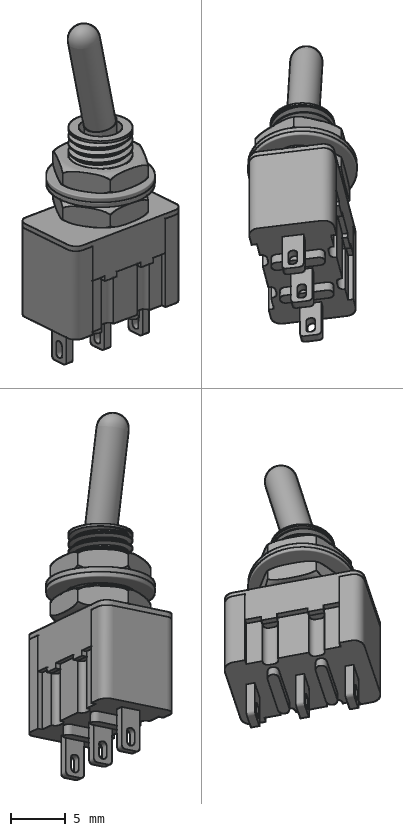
import cadquery as cq
import math


CASE_WIDTH = 7.9
CASE_LENGTH = 13.2
CASE_HEIGHT = 9.5
CASE_CORNER_RADIUS = 1.0
SHEET = 0.5
STRAP_WIDTH = 8.9
STRAP_DROP = 4.0
TAB_DROP = 4.5
SLOT_WIDTH = 1.45
SLOT_OFFSET = 2.2
GROOVE_DEPTH = 0.6
GROOVE_RADIUS = 0.5

RIB_LENGTH = 5.0
RIB_WIDTH = 1.05
RIB_HEIGHT = 1.0
RIB_OFFSET = 2.25

BUSHING_HEIGHT = 8.8
BUSHING_DIAMETER = 5.9
BORE_DIAMETER = 4.0
RIM_HEIGHT = 0.23
COLLAR_HEIGHT = 0.45
THREAD_PITCH = 0.75
THREAD_ROOT_DIAMETER = 5.03
THREAD_FLANK_ANGLE = 30.0
THREAD_CREST = THREAD_PITCH / 8
CREST_LEVEL = 7.43

NUT_WIDTH = 8.0
NUT_HEIGHT = 2.0
NUT_FACE_DIAMETER = 7.5
NUT_ROUND_RADIUS = 1.1
WASHER_DIAMETER = 10.0
WASHER_BORE = 6.4
WASHER_HEIGHT = 0.5
WASHER_RIM_RADIUS = 0.1
WASHER_COUNT = 2
WASHER_LEVEL = 3.0
LOWER_NUT_LEVEL = COLLAR_HEIGHT
UPPER_NUT_LEVEL = WASHER_LEVEL + WASHER_COUNT * WASHER_HEIGHT

LEVER_DIAMETER = 3.0
LEVER_TILT = 12.0
LEVER_PIVOT = BUSHING_HEIGHT
SHANK_START = 0.45
LEVER_TOP = 19.83

TERMINAL_WIDTH = 2.0
TERMINAL_THICKNESS = 0.8
TERMINAL_LENGTH = 4.0
TERMINAL_PITCH = 4.65
TERMINAL_CORNER_RADIUS = 0.4
EYE_WIDTH = 0.83
EYE_LENGTH = 1.7
EYE_LEVEL = 2.7


def case_block(top, bottom):
    """Full-outline case block between two heights, with rounded vertical corners."""
    return (
        cq.Workplane("XY")
        .workplane(offset=bottom)
        .rect(CASE_WIDTH, CASE_LENGTH)
        .extrude(top - bottom)
        .edges("|Z")
        .fillet(CASE_CORNER_RADIUS)
    )


def side_plates():
    """Strap and tabs of the frame on both long sides, below the cover plate."""
    plates = cq.Workplane("XY")
    for side in (-1, 1):
        x = side * (CASE_WIDTH - SHEET) / 2
        strap = cq.Workplane("XY").workplane(offset=-STRAP_DROP)
        strap = strap.center(x, 0).rect(SHEET, STRAP_WIDTH).extrude(STRAP_DROP)
        tabs = cq.Workplane("XY").workplane(offset=-TAB_DROP)
        tabs = tabs.pushPoints([(x, -SLOT_OFFSET), (x, SLOT_OFFSET)])
        tabs = tabs.rect(SHEET, SLOT_WIDTH).extrude(TAB_DROP)
        plates = plates.add(strap.union(tabs))
    return plates.combine()


def thread_groove():
    """Helical groove, limited to the threaded stretch of the bushing."""
    root_radius = THREAD_ROOT_DIAMETER / 2
    clearance = 0.03
    outer_radius = BUSHING_DIAMETER / 2 + clearance
    flank_slope = math.tan(math.radians(THREAD_FLANK_ANGLE))
    half_mouth = (THREAD_PITCH - THREAD_CREST) / 2
    half_outer = half_mouth + clearance * flank_slope
    half_root = half_mouth - (BUSHING_DIAMETER / 2 - root_radius) * flank_slope

    groove_level = CREST_LEVEL - THREAD_PITCH / 2
    turns_below = math.ceil((groove_level - COLLAR_HEIGHT) / THREAD_PITCH) + 1
    start = groove_level - turns_below * THREAD_PITCH
    thread_top = BUSHING_HEIGHT - RIM_HEIGHT
    turns = math.ceil((thread_top - start) / THREAD_PITCH) + 1
    helix = cq.Wire.makeHelix(THREAD_PITCH, turns * THREAD_PITCH, root_radius)
    groove = (
        cq.Workplane("XZ")
        .polyline([
            (root_radius, -half_root),
            (outer_radius, -half_outer),
            (outer_radius, half_outer),
            (root_radius, half_root),
        ])
        .close()
        .sweep(cq.Workplane(obj=helix), isFrenet=True)
        .translate((0, 0, start))
    )
    stretch = (
        cq.Workplane("XY")
        .workplane(offset=COLLAR_HEIGHT)
        .circle(BUSHING_DIAMETER)
        .extrude(thread_top - COLLAR_HEIGHT)
    )
    return groove.intersect(stretch)


def make_frame():
    """Cover plate with side straps and the threaded bushing."""
    bushing = cq.Workplane("XY").circle(BUSHING_DIAMETER / 2).extrude(BUSHING_HEIGHT)
    bushing = bushing.cut(thread_groove())
    cover = case_block(0, -SHEET).union(side_plates())
    bore = (
        cq.Workplane("XY")
        .workplane(offset=-SHEET)
        .circle(BORE_DIAMETER / 2)
        .extrude(SHEET + BUSHING_HEIGHT)
    )
    return cover.union(bushing).cut(bore)


def grip_grooves():
    """Vertical grooves with rounded inner corners, under the strap tabs."""
    recessed_width = CASE_WIDTH - 2 * SHEET
    height = CASE_HEIGHT - TAB_DROP
    sides = (-recessed_width / 2, recessed_width / 2)
    centres = [(x, y) for x in sides for y in (-SLOT_OFFSET, SLOT_OFFSET)]
    return (
        cq.Workplane("XY")
        .workplane(offset=-CASE_HEIGHT)
        .pushPoints(centres)
        .rect(2 * GROOVE_DEPTH, SLOT_WIDTH)
        .extrude(height)
        .edges("|Z")
        .fillet(GROOVE_RADIUS)
    )


def make_base():
    """Plastic base: recessed for the straps, with grip grooves and standoff ribs."""
    base = case_block(-SHEET, -CASE_HEIGHT)
    recesses = (
        cq.Workplane("XY")
        .workplane(offset=-CASE_HEIGHT)
        .pushPoints([(x * (CASE_WIDTH - SHEET) / 2, 0) for x in (-1, 1)])
        .rect(SHEET, STRAP_WIDTH)
        .extrude(CASE_HEIGHT)
    )
    ribs = (
        cq.Workplane("XY")
        .workplane(offset=-CASE_HEIGHT)
        .pushPoints([(0, -RIB_OFFSET), (0, RIB_OFFSET)])
        .slot2D(RIB_LENGTH, RIB_WIDTH)
        .extrude(-RIB_HEIGHT)
    )
    return base.cut(recesses).cut(grip_grooves()).union(ribs)


def make_nut(level):
    """Hexagon nut with rounded corners on both faces and flats on the X sides."""
    corner_radius = NUT_WIDTH / math.sqrt(3)
    round_start = NUT_FACE_DIAMETER / 2
    bore_radius = BUSHING_DIAMETER / 2
    hexagon = (
        cq.Workplane("XY")
        .polygon(6, 2 * corner_radius)
        .extrude(NUT_HEIGHT)
        .rotate((0, 0, 0), (0, 0, 1), 30)
    )

    def rounding_drop(radius):
        return NUT_ROUND_RADIUS - math.sqrt(NUT_ROUND_RADIUS ** 2 - (radius - round_start) ** 2)

    middle_radius = (round_start + corner_radius) / 2
    middle_drop = rounding_drop(middle_radius)
    corner_drop = rounding_drop(corner_radius)
    envelope = (
        cq.Workplane("XZ")
        .moveTo(bore_radius, 0)
        .lineTo(round_start, 0)
        .threePointArc((middle_radius, middle_drop), (corner_radius, corner_drop))
        .lineTo(corner_radius, NUT_HEIGHT - corner_drop)
        .threePointArc((middle_radius, NUT_HEIGHT - middle_drop), (round_start, NUT_HEIGHT))
        .lineTo(bore_radius, NUT_HEIGHT)
        .close()
        .revolve(360, (0, 0, 0), (0, 1, 0))
    )
    return hexagon.intersect(envelope).translate((0, 0, level))


def make_washer(level):
    """Flat washer with both outer rims rounded."""
    return (
        cq.Workplane("XY")
        .workplane(offset=level)
        .circle(WASHER_DIAMETER / 2)
        .extrude(WASHER_HEIGHT)
        .edges()
        .fillet(WASHER_RIM_RADIUS)
        .faces(">Z")
        .workplane(origin=(0, 0, level))
        .hole(WASHER_BORE)
    )


def tilted(body):
    """Lean a body built along the Z axis about the lever pivot."""
    return body.rotate((0, 0, 0), (1, 0, 0), LEVER_TILT).translate((0, 0, LEVER_PIVOT))


def make_lever():
    """Upright post on the base, topped by a tilted round shank with a ball end."""
    radius = LEVER_DIAMETER / 2
    ball_distance = (LEVER_TOP - radius - LEVER_PIVOT) / math.cos(math.radians(LEVER_TILT))
    shank = (
        cq.Workplane("XY")
        .workplane(offset=SHANK_START)
        .circle(radius)
        .extrude(ball_distance - SHANK_START)
        .union(cq.Workplane("XY").sphere(radius).translate((0, 0, ball_distance)))
    )
    above_post = (
        cq.Workplane("XY")
        .workplane(offset=SHANK_START)
        .circle(LEVER_DIAMETER)
        .extrude(LEVER_DIAMETER)
    )
    post = (
        cq.Workplane("XY")
        .workplane(offset=-SHEET)
        .circle(radius)
        .extrude(SHEET + LEVER_PIVOT + radius)
    )
    return post.cut(tilted(above_post)).union(tilted(shank))


def make_terminal(y):
    """Solder lug with rounded tip corners and an oblong eye."""
    lug = (
        cq.Workplane("XY")
        .workplane(offset=-CASE_HEIGHT)
        .center(0, y)
        .rect(TERMINAL_WIDTH, TERMINAL_THICKNESS)
        .extrude(-TERMINAL_LENGTH)
        .edges("|Y and <Z")
        .fillet(TERMINAL_CORNER_RADIUS)
    )
    eye = (
        cq.Workplane("XZ", origin=(0, y, -CASE_HEIGHT - EYE_LEVEL))
        .slot2D(EYE_LENGTH, EYE_WIDTH, 90)
        .extrude(TERMINAL_THICKNESS, both=True)
    )
    return lug.cut(eye)


frame = make_frame()
base = make_base()
lever = make_lever()
nuts = [make_nut(level) for level in (LOWER_NUT_LEVEL, UPPER_NUT_LEVEL)]
washers = [make_washer(WASHER_LEVEL + i * WASHER_HEIGHT) for i in range(WASHER_COUNT)]
terminals = [make_terminal(i * TERMINAL_PITCH) for i in (-1, 0, 1)]

result = cq.Compound.makeCompound([
    frame.val(),
    base.val(),
    lever.val(),
    *[nut.val() for nut in nuts],
    *[washer.val() for washer in washers],
    *[terminal.val() for terminal in terminals],
])